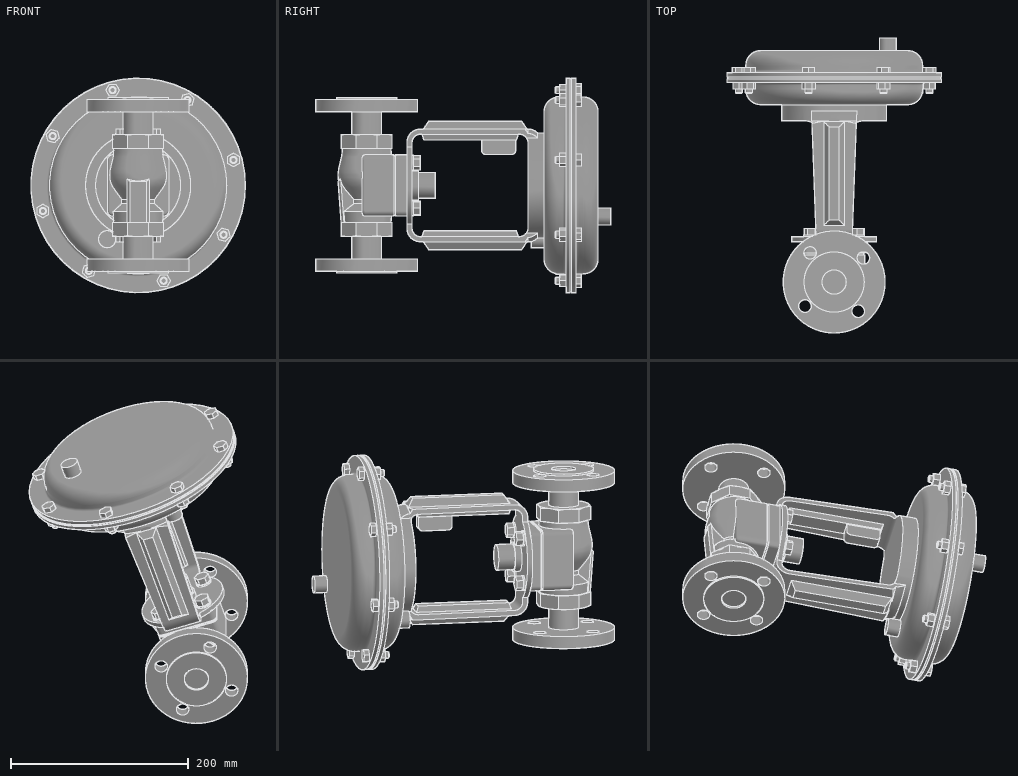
import cadquery as cq
import math


RIM_DIAMETER = 241.5
RIM_RADIUS = RIM_DIAMETER / 2
RIM_HALF = 5.5
SEAM_DEPTH = 0.5
SEAM_WIDTH = 2.0
SEAM_Y = -0.3
SHELL_RADIUS = 99.5
SHELL_HALF = 30.5
SHELL_ROUND = 17.0
RIM_FILLET = 3.3
PORT_RADIUS = 9.5
PORT_END = 44.8
PORT_NEAR = 35.0
PORT_FAR = 60.5

BOLT_COUNT = 8
BOLT_CIRCLE = 111.0
BOLT_START_ANGLE = 15.0
BOLT_HEX = 15.3
BOLT_HEAD = 6.0
BOLT_NUT = 7.3
BOLT_NUT_TURN = 30.0
BOLT_TIP = 12.3
BOLT_RADIUS = 4.0
BOLT_CHAMFER = 1.0

BOSS_RADIUS = 59.0
BOSS_FRONT = -48.5
ARM_OUTER = 63.5
ARM_THICKNESS = 6.0
ARM_INNER = ARM_OUTER - ARM_THICKNESS
ARM_BACK = -37.5
ARM_BACK_HALF_WIDTH = 25.5
ARM_FRONT_HALF_WIDTH = 20.3
ARM_ROOT_FILLET = 9.5
BEND_OUTER = 15.3
BEND_INNER = BEND_OUTER - ARM_THICKNESS
BASE_FRONT = -184.5
BASE_BACK = BASE_FRONT + ARM_THICKNESS
BASE_RADIUS = 47.8
ARM_END_MIDDLE = (62.0, -42.0)
ARM_END_SHOULDER = (63.7, -48.5)
ARM_END_OUTSIDE = (69.0, -52.0)
RIB_BACK = -49.5
RIB_FRONT = -166.0
RIB_HALF_WIDTH = 11.5
RIB_HEIGHT = 9.0
RIB_TAPER = 34.0
INNER_RIB_BACK = -59.0
INNER_RIB_FRONT = -167.7
INNER_RIB_HALF_WIDTH = 10.3
INNER_RIB_HEIGHT = 6.5
INNER_RIB_TAPER = 19.0
TAB_BACK = -62.0
TAB_FRONT = -100.5
TAB_BOTTOM = 34.5
TAB_THICKNESS = 13.3
TAB_ROUND = 5.0

BOX_HALF = 34.5
BOX_ROUND = 6.0
BONNET_FRONT = -197.2
COLLAR_RADIUS = 14.5
COLLAR_BACK = -152.5
COLLAR_FLANGE_RADIUS = 16.5
COLLAR_FLANGE_BACK = -171.3
SCREW_COUNT = 4
SCREW_OFFSET = 25.5
SCREW_HEX = 16.5
SCREW_HEAD_BACK = -169.5
SCREW_WASHER = 1.5
SCREW_WASHER_RADIUS = 8.5
SCREW_RADIUS = 4.0

VALVE_Y = -229.8
GASKET_THICKNESS = 2.0
GASKET_INSET = 1.0
BOX_BACK = BONNET_FRONT - GASKET_THICKNESS
BOX_FRONT = -234.7
BOX_FRONT_FILLET = 3.3
PIPE_RADIUS = 17.0
FLANGE_RADIUS = 57.5
FLANGE_INNER_Z = 82.7
FLANGE_OUTER_Z = 96.5
FACE_RADIUS = 34.0
FACE_Z = 98.5
BORE_RADIUS = 13.5
BORE_DEPTH = 2.5
FLANGE_HOLE_COUNT = 4
FLANGE_HOLE_RADIUS = 7.0
FLANGE_HOLE_CIRCLE = 42.5
FLANGE_HOLE_ANGLE = 39.5
NUT_INNER_Z = 41.5
NUT_OUTER_Z = 57.5
NUT_SIDES = 8
NUT_FLATS = 57.5
NUT_CHAMFER = 1.0
GLOBE_END_RADIUS = 27.5
BULGE_POINTS = [(29.5, 27.2), (32.2, 14.0), (30.5, 1.5), (24.5, -8.0)]
NECK_RADIUS = 19.3
NECK_TOP = -15.5
NECK_BOTTOM = -20.5
SHOULDER_RADIUS = 28.5
SHOULDER_Z = -29.5
PAD_HALF_WIDTH = 12.5
PAD_TOP_Z = 7.5
PAD_TOP_REACH = 32.5
PAD_BOTTOM_REACH = 29.0
PAD_CHAMFER = 3.3


def cylinder_y(radius, y_from, y_to, x=0.0, z=0.0):
    """Cylinder along Y between two Y values."""
    return (
        cq.Workplane("XZ", origin=(x, y_from, z))
        .circle(radius)
        .extrude(y_from - y_to)
    )


def hexagon_y(across_corners, y_from, y_to, x, z, turn=0.0):
    """Hexagonal prism along Y, turned about its own axis."""
    return (
        cq.Workplane("XZ", origin=(x, y_from, z))
        .transformed(rotate=(0, 0, turn))
        .polygon(6, across_corners)
        .extrude(y_from - y_to)
    )


def actuator_shell():
    flat_radius = SHELL_RADIUS - SHELL_ROUND
    round_start = SHELL_HALF - SHELL_ROUND
    offset = SHELL_ROUND * math.sqrt(0.5)
    shoulder = (flat_radius + offset, round_start + offset)
    shell = (
        cq.Workplane("XY")
        .moveTo(0, SHELL_HALF)
        .lineTo(flat_radius, SHELL_HALF)
        .threePointArc(shoulder, (SHELL_RADIUS, round_start))
        .lineTo(SHELL_RADIUS, RIM_HALF + RIM_FILLET)
        .radiusArc((SHELL_RADIUS + RIM_FILLET, RIM_HALF), -RIM_FILLET)
        .lineTo(RIM_RADIUS, RIM_HALF)
        .lineTo(RIM_RADIUS, -RIM_HALF)
        .lineTo(SHELL_RADIUS + RIM_FILLET, -RIM_HALF)
        .radiusArc((SHELL_RADIUS, -RIM_HALF - RIM_FILLET), -RIM_FILLET)
        .lineTo(SHELL_RADIUS, -round_start)
        .threePointArc((shoulder[0], -shoulder[1]), (flat_radius, -SHELL_HALF))
        .lineTo(0, -SHELL_HALF)
        .close()
        .revolve(360, (0, 0, 0), (0, 1, 0))
    )
    seam_back = SEAM_Y + SEAM_WIDTH / 2
    seam_front = SEAM_Y - SEAM_WIDTH / 2
    seam = cylinder_y(RIM_RADIUS, seam_front, seam_back).cut(
        cylinder_y(RIM_RADIUS - SEAM_DEPTH, seam_front, seam_back)
    )
    return shell.cut(seam)


def rim_bolt():
    """First bolt through the rim: head at the back, nut and tip at the front."""
    x = BOLT_CIRCLE * math.cos(math.radians(BOLT_START_ANGLE))
    z = BOLT_CIRCLE * math.sin(math.radians(BOLT_START_ANGLE))
    head = hexagon_y(BOLT_HEX, RIM_HALF, RIM_HALF + BOLT_HEAD, x, z)
    nut = hexagon_y(BOLT_HEX, -RIM_HALF - BOLT_NUT, -RIM_HALF, x, z, BOLT_NUT_TURN)
    tip = cylinder_y(BOLT_RADIUS, -RIM_HALF - BOLT_TIP, -RIM_HALF, x, z)
    tip = tip.faces("<Y").chamfer(BOLT_CHAMFER)
    return head.union(nut).union(tip)


def make_actuator():
    body = actuator_shell()
    body = body.union(cylinder_y(PORT_RADIUS, SHELL_HALF, PORT_END, PORT_FAR, -PORT_NEAR))
    body = body.union(cylinder_y(PORT_RADIUS, -PORT_END, -SHELL_HALF, -PORT_NEAR, -PORT_FAR))
    for i in range(BOLT_COUNT):
        angle = i * 360 / BOLT_COUNT
        body = body.union(rim_bolt().rotate((0, 0, 0), (0, 1, 0), angle))
    return body


def yoke_strap():
    """U-shaped strap whose arms grow wider toward the boss."""
    strap = (
        cq.Workplane("YZ")
        .moveTo(ARM_BACK, ARM_OUTER)
        .lineTo(BASE_FRONT + BEND_OUTER, ARM_OUTER)
        .radiusArc((BASE_FRONT, ARM_OUTER - BEND_OUTER), -BEND_OUTER)
        .lineTo(BASE_FRONT, BEND_OUTER - ARM_OUTER)
        .radiusArc((BASE_FRONT + BEND_OUTER, -ARM_OUTER), -BEND_OUTER)
        .lineTo(ARM_BACK, -ARM_OUTER)
        .lineTo(ARM_BACK, ARM_ROOT_FILLET - ARM_INNER)
        .lineTo(BOSS_FRONT, ARM_ROOT_FILLET - ARM_INNER)
        .radiusArc((BOSS_FRONT - ARM_ROOT_FILLET, -ARM_INNER), ARM_ROOT_FILLET)
        .lineTo(BASE_BACK + BEND_INNER, -ARM_INNER)
        .radiusArc((BASE_BACK, BEND_INNER - ARM_INNER), BEND_INNER)
        .lineTo(BASE_BACK, ARM_INNER - BEND_INNER)
        .radiusArc((BASE_BACK + BEND_INNER, ARM_INNER), BEND_INNER)
        .lineTo(BOSS_FRONT - ARM_ROOT_FILLET, ARM_INNER)
        .radiusArc((BOSS_FRONT, ARM_INNER - ARM_ROOT_FILLET), ARM_ROOT_FILLET)
        .lineTo(ARM_BACK, ARM_INNER - ARM_ROOT_FILLET)
        .close()
        .extrude(ARM_BACK_HALF_WIDTH, both=True)
    )
    taper = (
        cq.Workplane("XY", origin=(0, 0, -ARM_OUTER))
        .polyline([
            (-ARM_BACK_HALF_WIDTH, ARM_BACK),
            (ARM_BACK_HALF_WIDTH, ARM_BACK),
            (ARM_FRONT_HALF_WIDTH, BASE_FRONT),
            (-ARM_FRONT_HALF_WIDTH, BASE_FRONT),
        ])
        .close()
        .extrude(2 * ARM_OUTER)
    )
    return strap.intersect(taper)


def arm_end_envelope():
    """Body of revolution that rounds off the back ends of the arms."""
    return (
        cq.Workplane("XY")
        .moveTo(0, ARM_BACK)
        .lineTo(BOSS_RADIUS, ARM_BACK)
        .threePointArc(ARM_END_MIDDLE, ARM_END_SHOULDER)
        .lineTo(*ARM_END_OUTSIDE)
        .lineTo(ARM_END_OUTSIDE[0], BASE_FRONT)
        .lineTo(0, BASE_FRONT)
        .close()
        .revolve(360, (0, 0, 0), (0, 1, 0))
    )


def arm_rib(half_width, y_back, y_front, z, height, taper):
    """Long rib with sloping sides, standing on the plane at z; a negative height points down."""
    return (
        cq.Workplane("XY", origin=(0, (y_back + y_front) / 2, z))
        .rect(2 * half_width, y_back - y_front)
        .extrude(height, taper=taper)
    )


def root_fillet():
    """Concave fillet across the boss face under the upper arm, trimmed to the boss outline."""
    fillet = (
        cq.Workplane("YZ")
        .moveTo(BOSS_FRONT, ARM_INNER - ARM_ROOT_FILLET)
        .radiusArc((BOSS_FRONT - ARM_ROOT_FILLET, ARM_INNER), -ARM_ROOT_FILLET)
        .lineTo(BOSS_FRONT - ARM_ROOT_FILLET, BOSS_RADIUS)
        .lineTo(BOSS_FRONT, BOSS_RADIUS)
        .close()
        .extrude(BOSS_RADIUS, both=True)
    )
    return fillet.intersect(cylinder_y(BOSS_RADIUS, BOSS_FRONT - ARM_ROOT_FILLET, BOSS_FRONT))


def gauge_tab():
    """Small plate that hangs from the upper arm."""
    top = ARM_INNER + ARM_THICKNESS / 2
    return (
        cq.Workplane("YZ")
        .center((TAB_BACK + TAB_FRONT) / 2, (top + TAB_BOTTOM) / 2)
        .rect(TAB_BACK - TAB_FRONT, top - TAB_BOTTOM)
        .extrude(TAB_THICKNESS / 2, both=True)
        .edges("|X and <Z")
        .fillet(TAB_ROUND)
    )


def make_yoke():
    body = yoke_strap().intersect(arm_end_envelope())
    body = body.union(cylinder_y(BOSS_RADIUS, BOSS_FRONT, -SHELL_HALF))
    body = body.union(cylinder_y(BASE_RADIUS, BASE_FRONT, BASE_BACK))
    outer = arm_rib(RIB_HALF_WIDTH, RIB_BACK, RIB_FRONT, ARM_OUTER, RIB_HEIGHT, RIB_TAPER)
    inner = arm_rib(
        INNER_RIB_HALF_WIDTH, INNER_RIB_BACK, INNER_RIB_FRONT,
        ARM_INNER, -INNER_RIB_HEIGHT, INNER_RIB_TAPER,
    )
    for feature in (outer, inner, root_fillet()):
        body = body.union(feature).union(feature.mirror("XY"))
    body = body.union(gauge_tab())
    return body


def square_block(half, y_from, y_to):
    """Square block along Y with rounded corners."""
    return (
        cq.Workplane("XZ", origin=(0, y_from, 0))
        .rect(2 * half, 2 * half)
        .extrude(y_from - y_to)
        .edges("|Y")
        .fillet(BOX_ROUND)
    )


def bonnet_screw():
    """Screw that holds the bonnet to the yoke, at the -X, +Z corner."""
    x = -SCREW_OFFSET
    z = SCREW_OFFSET
    washer_back = BASE_BACK + SCREW_WASHER
    head = hexagon_y(SCREW_HEX, washer_back, SCREW_HEAD_BACK, x, z)
    washer = cylinder_y(SCREW_WASHER_RADIUS, BASE_BACK, washer_back, x, z)
    shank = cylinder_y(SCREW_RADIUS, BASE_FRONT, BASE_BACK, x, z)
    return head.union(washer).union(shank)


def make_bonnet():
    body = square_block(BOX_HALF, BONNET_FRONT, BASE_FRONT)
    body = body.union(cylinder_y(COLLAR_RADIUS, BASE_FRONT, COLLAR_BACK))
    body = body.union(cylinder_y(COLLAR_FLANGE_RADIUS, BASE_BACK, COLLAR_FLANGE_BACK))
    for i in range(SCREW_COUNT):
        angle = i * 360 / SCREW_COUNT
        body = body.union(bonnet_screw().rotate((0, 0, 0), (0, 1, 0), angle))
    return body


def valve_globe():
    return (
        cq.Workplane("XZ", origin=(0, VALVE_Y, 0))
        .moveTo(0, NUT_INNER_Z)
        .lineTo(GLOBE_END_RADIUS, NUT_INNER_Z)
        .spline([*BULGE_POINTS, (NECK_RADIUS, NECK_TOP)], includeCurrent=True)
        .lineTo(NECK_RADIUS, NECK_BOTTOM)
        .lineTo(SHOULDER_RADIUS, SHOULDER_Z)
        .lineTo(GLOBE_END_RADIUS, -NUT_INNER_Z)
        .lineTo(0, -NUT_INNER_Z)
        .close()
        .revolve(360, (0, 0, 0), (0, 1, 0))
    )


def upper_connection():
    """Octagonal nut, pipe and flange above the globe."""
    nut_length = NUT_OUTER_Z - NUT_INNER_Z
    corner_radius = NUT_FLATS / 2 / math.cos(math.pi / NUT_SIDES)
    nut = (
        cq.Workplane("XY", origin=(0, VALVE_Y, NUT_INNER_Z))
        .transformed(rotate=(0, 0, 180 / NUT_SIDES))
        .polygon(NUT_SIDES, 2 * corner_radius)
        .extrude(nut_length)
    )
    nut_turning = (
        cq.Workplane("XY", origin=(0, VALVE_Y, NUT_INNER_Z))
        .circle(corner_radius)
        .extrude(nut_length)
        .faces(">Z")
        .chamfer(NUT_CHAMFER, corner_radius - NUT_FLATS / 2)
    )
    nut = nut.intersect(nut_turning)
    pipe = (
        cq.Workplane("XY", origin=(0, VALVE_Y, NUT_OUTER_Z))
        .circle(PIPE_RADIUS)
        .extrude(FLANGE_INNER_Z - NUT_OUTER_Z)
    )
    flange = (
        cq.Workplane("XY", origin=(0, VALVE_Y, FLANGE_INNER_Z))
        .circle(FLANGE_RADIUS)
        .extrude(FLANGE_OUTER_Z - FLANGE_INNER_Z)
        .faces(">Z")
        .workplane()
        .polarArray(FLANGE_HOLE_CIRCLE, FLANGE_HOLE_ANGLE, 360, FLANGE_HOLE_COUNT)
        .circle(FLANGE_HOLE_RADIUS)
        .cutThruAll()
    )
    face = (
        cq.Workplane("XY", origin=(0, VALVE_Y, FLANGE_OUTER_Z))
        .circle(FACE_RADIUS)
        .extrude(FACE_Z - FLANGE_OUTER_Z)
    )
    bore = (
        cq.Workplane("XY", origin=(0, VALVE_Y, FACE_Z - BORE_DEPTH))
        .circle(BORE_RADIUS)
        .extrude(BORE_DEPTH)
    )
    return nut.union(pipe).union(flange).union(face).cut(bore)


def front_pad():
    """Leaning pad on the front of the globe."""
    return (
        cq.Workplane("YZ")
        .polyline([
            (VALVE_Y, -NUT_INNER_Z),
            (VALVE_Y - PAD_BOTTOM_REACH, -NUT_INNER_Z),
            (VALVE_Y - PAD_TOP_REACH, PAD_TOP_Z),
            (VALVE_Y, PAD_TOP_Z),
        ])
        .close()
        .extrude(PAD_HALF_WIDTH, both=True)
        .faces("<Y")
        .edges("not <Z")
        .chamfer(PAD_CHAMFER)
    )


def make_valve():
    gasket = square_block(BOX_HALF - GASKET_INSET, BOX_BACK, BONNET_FRONT)
    box = square_block(BOX_HALF, BOX_FRONT, BOX_BACK).faces("<Y").edges().fillet(BOX_FRONT_FILLET)
    connection = upper_connection()
    body = valve_globe().union(front_pad()).union(box).union(gasket)
    return body.union(connection).union(connection.mirror("XY"))


actuator = make_actuator()
bonnet = make_bonnet()
yoke = make_yoke().cut(bonnet).cut(actuator)
valve = make_valve()

result = cq.Compound.makeCompound([actuator.val(), yoke.val(), bonnet.val(), valve.val()])